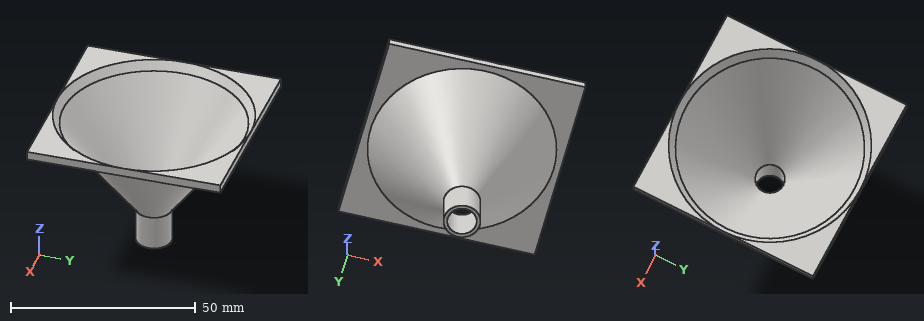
import cadquery as cq

flange_side = 55.0
flange_thickness = 2.5

total_height = 40.0
spout_length = 10.0
spout_diameter = 10.0
bore_diameter = 8.0

cone_height = total_height - spout_length
flange_bottom = total_height - flange_thickness


def make_cone(bottom_diameter, top_diameter):
    """Solid cone from the top of the spout to the top of the flange."""
    bottom_radius = bottom_diameter / 2
    top_radius = top_diameter / 2
    solid = cq.Solid.makeCone(bottom_radius, top_radius, cone_height, cq.Vector(0, 0, spout_length))
    return cq.Workplane("XY").add(solid)


spout = cq.Workplane("XY").circle(spout_diameter / 2).extrude(spout_length)
flange = (
    cq.Workplane("XY")
    .workplane(offset=flange_bottom)
    .rect(flange_side, flange_side)
    .extrude(flange_thickness)
)
body = spout.union(make_cone(spout_diameter, flange_side)).union(flange)

bore = cq.Workplane("XY").circle(bore_diameter / 2).extrude(spout_length)
result = body.cut(make_cone(bore_diameter, flange_side)).cut(bore)